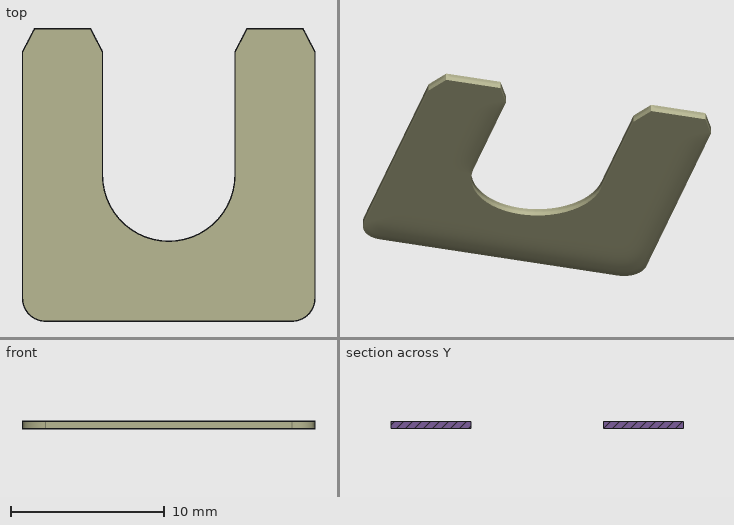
import cadquery as cq

side = 19.05
thickness = 0.5
slot_width = 8.61
slot_depth = 13.83
corner_radius = 1.5
tip_taper_width = 0.78
tip_taper_length = 1.5

half_side = side / 2
slot_radius = slot_width / 2
slot_bottom_y = half_side - slot_depth
slot_center_y = slot_bottom_y + slot_radius
taper_start_y = half_side - tip_taper_length


def fork_plate():
    """U-shaped plate with tapered leg tips and a round-ended slot open at +Y."""
    return (
        cq.Workplane("XY")
        .moveTo(-half_side, -half_side)
        .lineTo(half_side, -half_side)
        .lineTo(half_side, taper_start_y)
        .lineTo(half_side - tip_taper_width, half_side)
        .lineTo(slot_radius + tip_taper_width, half_side)
        .lineTo(slot_radius, taper_start_y)
        .lineTo(slot_radius, slot_center_y)
        .threePointArc((0, slot_bottom_y), (-slot_radius, slot_center_y))
        .lineTo(-slot_radius, taper_start_y)
        .lineTo(-slot_radius - tip_taper_width, half_side)
        .lineTo(-half_side + tip_taper_width, half_side)
        .lineTo(-half_side, taper_start_y)
        .close()
        .extrude(thickness)
    )


closed_end_corners = cq.selectors.BoxSelector(
    (-side, -half_side - corner_radius, -thickness),
    (side, -half_side + corner_radius, 2 * thickness),
)
result = fork_plate().edges("|Z").edges(closed_end_corners).fillet(corner_radius)